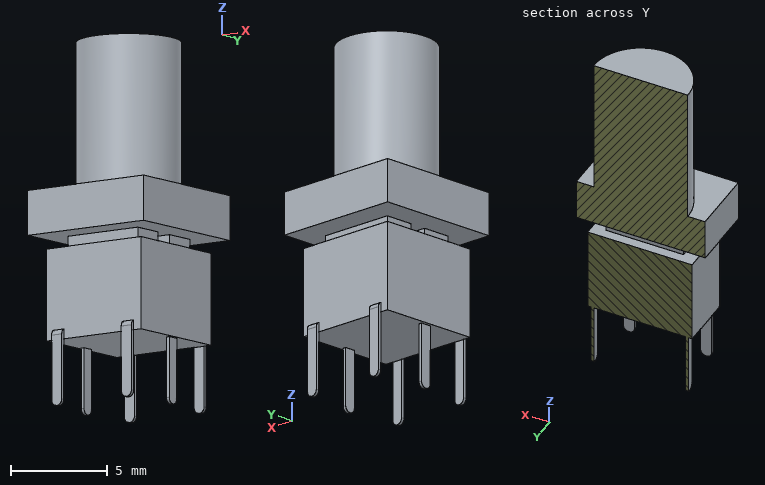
import cadquery as cq
import math

TOTAL_HEIGHT = 19.3
PIN_LENGTH_BELOW_HOUSING = 3.5
HOUSING_HEIGHT = 4.85
LEG_HEIGHT = 0.7
FLANGE_HEIGHT = 2.37

HOUSING_BOTTOM = PIN_LENGTH_BELOW_HOUSING
HOUSING_TOP = HOUSING_BOTTOM + HOUSING_HEIGHT
FLANGE_BOTTOM = HOUSING_TOP + LEG_HEIGHT
FLANGE_TOP = FLANGE_BOTTOM + FLANGE_HEIGHT
KNOB_HEIGHT = TOTAL_HEIGHT - FLANGE_TOP

KNOB_DIAMETER = 5.5
FLANGE_WIDTH = 7.5

BASE_SHIFT = 0.05
LEGS_WIDTH = 4.5
LEG_GAP = 1.0
LEG_DEPTH = (LEGS_WIDTH - LEG_GAP) / 2
HOUSING_WIDTH = 6.1
PIN_WIDTH = 0.65
PIN_THICKNESS = 0.2
PIN_TIP_RADIUS = 0.3
SHOULDER_RADIUS = 0.3
FACE_PIN_OVERLAP = 0.52
FACE_PIN_SPACING = 4.5
BOTTOM_PIN_SPACING = 5.5

SHOULDER_HEIGHT = math.sqrt(SHOULDER_RADIUS**2 - (SHOULDER_RADIUS - PIN_THICKNESS) ** 2)


def block(width_x, width_y, height, bottom):
    """Box centred on the Z axis, standing on the height `bottom`."""
    return (
        cq.Workplane("XY")
        .workplane(offset=bottom)
        .rect(width_x, width_y)
        .extrude(height)
    )


def make_button():
    """Round knob on a square flange."""
    flange = block(FLANGE_WIDTH, FLANGE_WIDTH, FLANGE_HEIGHT, FLANGE_BOTTOM)
    return flange.faces(">Z").workplane().circle(KNOB_DIAMETER / 2).extrude(KNOB_HEIGHT)


def round_tip(pin):
    """Round the lower end of a flat pin that is thin along Y."""
    return pin.edges("|Y and <Z").fillet(PIN_TIP_RADIUS)


def make_bottom_pin():
    """Straight pin that hangs from the housing bottom, wide along Y and thin along X."""
    pin = round_tip(block(PIN_WIDTH, PIN_THICKNESS, HOUSING_BOTTOM, 0))
    return pin.rotate((0, 0, 0), (0, 0, 1), 90)


def make_face_pin():
    """Pin that lies on the -Y face of the housing, with a rounded top."""
    inner_y = -HOUSING_WIDTH / 2
    outer_y = inner_y - PIN_THICKNESS
    top = HOUSING_BOTTOM + FACE_PIN_OVERLAP
    strip = (
        cq.Workplane("YZ")
        .moveTo(inner_y, 0)
        .lineTo(outer_y, 0)
        .lineTo(outer_y, top - SHOULDER_HEIGHT)
        .radiusArc((inner_y, top), SHOULDER_RADIUS)
        .close()
        .extrude(PIN_WIDTH / 2, both=True)
    )
    return round_tip(strip)


def make_switch_base():
    """Housing with two legs on top, two pins on each Y face and one pin below each X side."""
    base = block(HOUSING_WIDTH, HOUSING_WIDTH, HOUSING_HEIGHT, HOUSING_BOTTOM)
    leg = block(LEGS_WIDTH, LEG_DEPTH, LEG_HEIGHT, HOUSING_TOP)
    leg_offset = (LEG_GAP + LEG_DEPTH) / 2
    face_pin = make_face_pin()
    bottom_pin = make_bottom_pin()
    for side in (-1, 1):
        base = base.union(leg.translate((0, side * leg_offset, 0)))
        front_pin = face_pin.translate((side * FACE_PIN_SPACING / 2, 0, 0))
        base = base.union(front_pin).union(front_pin.mirror("XZ"))
        base = base.union(bottom_pin.translate((side * BOTTOM_PIN_SPACING / 2, 0, 0)))
    return base.translate((BASE_SHIFT, -BASE_SHIFT, 0))


button = make_button()
switch_base = make_switch_base()

result = cq.Compound.makeCompound([button.val(), switch_base.val()])